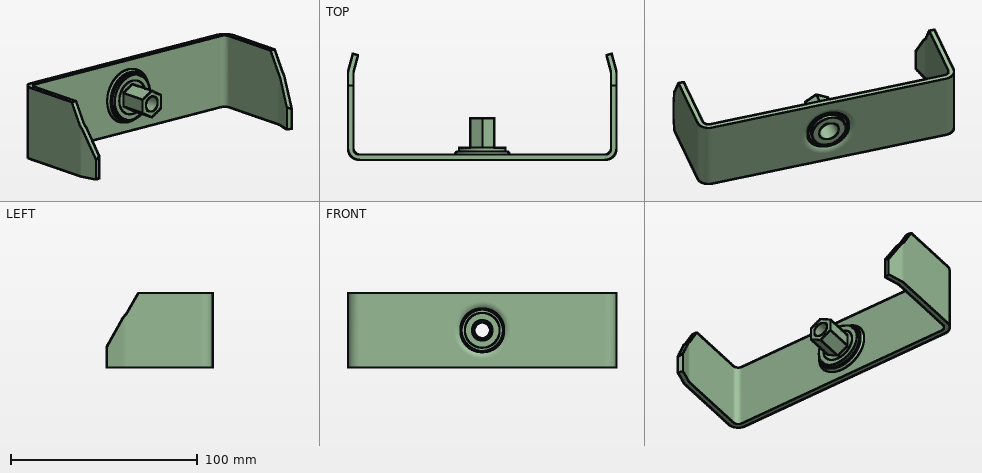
import cadquery as cq
import math

WIDTH = 144.0
DEPTH = 57.0
HEIGHT = 40.0
SHEET = 3.0
CORNER_RADIUS = 6.2

LIP_ANGLE = 15.0
LIP_BEND_RADIUS = 6.8
LIP_BEND_Y = 46.5

CUT_START_Y = 40.0
CUT_ANGLE = 60.0
CUT_BEND_DROP = 2.0
TIP_HEIGHT = 11.1

FLARE_RADIUS = 15.3
FLARE_ANGLE = 45.0
FLARE_DEPTH = 1.5
SEAT_BORE_RADIUS = 11.1
EMBOSS_BASE_RADIUS = 14.8
EMBOSS_TOP_RADIUS = 13.7
EMBOSS_HEIGHT = 1.6
SEAT_Y = SHEET + EMBOSS_HEIGHT

FLANGE_RADIUS = 12.5
FLANGE_THICKNESS = 2.0
BUSHING_FRONT_Y = 2.5
FLANGE_BACK_Y = SEAT_Y + FLANGE_THICKNESS

COLLAR_RADIUS = 9.4
HEX_ACROSS_FLATS = 13.0
SLEEVE_LENGTH = 22.5
BORE_FRONT_RADIUS = 5.5
BORE_BACK_RADIUS = 4.2
WIDE_BORE_DEPTH = 11.5


def revolve_about_y(profile):
    """Turn a closed XY profile, drawn on the +X side, about the Y axis."""
    return profile.close().revolve(360, (0, 0, 0), (0, 1, 0))


def cylinder_along_y(radius, start_y, end_y):
    profile = (
        cq.Workplane("XY").moveTo(0, start_y).lineTo(radius, start_y)
        .lineTo(radius, end_y).lineTo(0, end_y)
    )
    return revolve_about_y(profile)


LIP_SIN = math.sin(math.radians(LIP_ANGLE))
LIP_COS = math.cos(math.radians(LIP_ANGLE))
BEND_CENTER_X = WIDTH / 2 - LIP_BEND_RADIUS
LIP_START_Y = LIP_BEND_Y + LIP_BEND_RADIUS * LIP_SIN
LIP_LENGTH = (DEPTH - LIP_START_Y) / LIP_COS


def bend_point(radius, angle):
    """Point on the lip bend at a given radius and angle in degrees."""
    turn = math.radians(angle)
    return BEND_CENTER_X + radius * math.cos(turn), LIP_BEND_Y + radius * math.sin(turn)


def lip_tip(radius):
    x, y = bend_point(radius, LIP_ANGLE)
    return x - LIP_LENGTH * LIP_SIN, y + LIP_LENGTH * LIP_COS


def make_half_sheet():
    """The +X half of the bent strip, before the arm tops are cut."""
    half = WIDTH / 2
    inner_corner = CORNER_RADIUS - SHEET
    inner_bend = LIP_BEND_RADIUS - SHEET
    corner_x = half - CORNER_RADIUS
    diagonal = math.sqrt(0.5)

    def corner_middle(radius):
        return corner_x + radius * diagonal, CORNER_RADIUS - radius * diagonal

    return (
        cq.Workplane("XY").workplane(offset=-HEIGHT / 2)
        .moveTo(0, 0)
        .lineTo(corner_x, 0)
        .threePointArc(corner_middle(CORNER_RADIUS), (half, CORNER_RADIUS))
        .lineTo(half, LIP_BEND_Y)
        .threePointArc(bend_point(LIP_BEND_RADIUS, LIP_ANGLE / 2), bend_point(LIP_BEND_RADIUS, LIP_ANGLE))
        .lineTo(*lip_tip(LIP_BEND_RADIUS))
        .lineTo(*lip_tip(inner_bend))
        .lineTo(*bend_point(inner_bend, LIP_ANGLE))
        .threePointArc(bend_point(inner_bend, LIP_ANGLE / 2), (half - SHEET, LIP_BEND_Y))
        .lineTo(half - SHEET, CORNER_RADIUS)
        .threePointArc(corner_middle(inner_corner), (corner_x, SHEET))
        .lineTo(0, SHEET)
        .close()
        .extrude(HEIGHT)
    )


def make_arm_cut():
    """Prism above the sloping arm tops, spanning both arms."""
    top = HEIGHT / 2
    bend_z = top - (LIP_BEND_Y - CUT_START_Y) * math.tan(math.radians(CUT_ANGLE))
    return (
        cq.Workplane("YZ").moveTo(CUT_START_Y, top)
        .lineTo(LIP_BEND_Y, bend_z)
        .lineTo(LIP_START_Y, bend_z - CUT_BEND_DROP)
        .lineTo(DEPTH, TIP_HEIGHT - HEIGHT / 2)
        .lineTo(DEPTH, top)
        .close()
        .extrude(WIDTH / 2, both=True)
    )


def make_emboss():
    """Conical rise on the back of the web."""
    profile = (
        cq.Workplane("XY").moveTo(0, SHEET / 2).lineTo(EMBOSS_BASE_RADIUS, SHEET / 2)
        .lineTo(EMBOSS_BASE_RADIUS, SHEET).lineTo(EMBOSS_TOP_RADIUS, SEAT_Y).lineTo(0, SEAT_Y)
    )
    return revolve_about_y(profile)


def make_flare():
    """Rounded recess that leaves the web's front face tangentially."""
    angle = math.radians(FLARE_ANGLE)
    radius = FLARE_DEPTH / (1 - math.cos(angle))
    middle = (FLARE_RADIUS - radius * math.sin(angle / 2), radius * (1 - math.cos(angle / 2)))
    floor_radius = FLARE_RADIUS - radius * math.sin(angle)
    profile = (
        cq.Workplane("XY").moveTo(0, 0).lineTo(FLARE_RADIUS, 0)
        .threePointArc(middle, (floor_radius, FLARE_DEPTH)).lineTo(0, FLARE_DEPTH)
    )
    return revolve_about_y(profile)


def make_bracket():
    half = make_half_sheet()
    sheet = half.union(half.mirror("YZ")).cut(make_arm_cut())
    seat_bore = cylinder_along_y(SEAT_BORE_RADIUS, 0, SEAT_Y)
    return sheet.union(make_emboss()).cut(make_flare()).cut(seat_bore)


def make_bushing():
    """Flange behind the seat, hub in the seat bore, and a hole for the sleeve collar."""
    hub = cylinder_along_y(SEAT_BORE_RADIUS, BUSHING_FRONT_Y, SEAT_Y)
    flange = cylinder_along_y(FLANGE_RADIUS, SEAT_Y, FLANGE_BACK_Y)
    collar_hole = cylinder_along_y(COLLAR_RADIUS, BUSHING_FRONT_Y, FLANGE_BACK_Y)
    return hub.union(flange).cut(collar_hole)


def make_sleeve():
    """Round collar and hexagonal shank with a through bore that narrows at a 45-degree shoulder."""
    collar = cylinder_along_y(COLLAR_RADIUS, 0, FLANGE_BACK_Y)
    across_corners = HEX_ACROSS_FLATS / math.cos(math.radians(30))
    shank = (
        cq.Workplane("XZ").polygon(6, across_corners).extrude(-SLEEVE_LENGTH)
        .rotate((0, 0, 0), (0, 1, 0), 90)
    )
    shoulder_end_y = WIDE_BORE_DEPTH + BORE_FRONT_RADIUS - BORE_BACK_RADIUS
    bore_profile = (
        cq.Workplane("XY").moveTo(0, 0).lineTo(BORE_FRONT_RADIUS, 0)
        .lineTo(BORE_FRONT_RADIUS, WIDE_BORE_DEPTH)
        .lineTo(BORE_BACK_RADIUS, shoulder_end_y)
        .lineTo(BORE_BACK_RADIUS, SLEEVE_LENGTH).lineTo(0, SLEEVE_LENGTH)
    )
    return collar.union(shank).cut(revolve_about_y(bore_profile))


bracket = make_bracket()
bushing = make_bushing()
sleeve = make_sleeve()

result = cq.Compound.makeCompound([bracket.val(), bushing.val(), sleeve.val()])